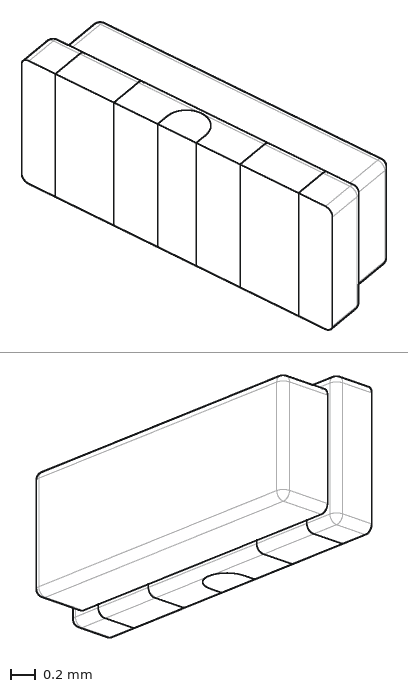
import cadquery as cq

length = 3.2
total_depth = 0.9
height = 1.3
base_depth = 0.4
cap_inset = 0.1
edge_radius = 0.075

terminal_width = 0.6
terminal_offset = 0.95

strip_radius = 0.2
strip_depth = base_depth - edge_radius


def rounded_block(block_length, block_height, start_y, depth):
    """Block along +Y with rounded corners and a rounded rear rim."""
    block = cq.Workplane("XY").box(block_length, depth, block_height, centered=(True, False, True))
    block = block.edges("|Y").fillet(edge_radius)
    return block.faces(">Y").edges().fillet(edge_radius).translate((0, start_y, 0))


def make_base():
    return rounded_block(length, height, 0, base_depth)


def make_cap():
    cap_length = length - 2 * cap_inset
    cap_height = height - 2 * cap_inset
    return rounded_block(cap_length, cap_height, base_depth, total_depth - base_depth)


def make_terminal(center_x):
    """Slice of the base, so that its rounded rim runs on across the terminal."""
    slice_box = cq.Workplane("XY").box(
        terminal_width, base_depth, height, centered=(True, False, True)
    )
    return make_base().intersect(slice_box.translate((center_x, 0, 0)))


def make_strip():
    """Arch-shaped strip running the full height."""
    shoulder_y = strip_depth - strip_radius
    return (
        cq.Workplane("XY")
        .workplane(offset=-height / 2)
        .moveTo(-strip_radius, 0)
        .lineTo(-strip_radius, shoulder_y)
        .threePointArc((0, strip_depth), (strip_radius, shoulder_y))
        .lineTo(strip_radius, 0)
        .close()
        .extrude(height)
    )


def make_housing(inserts):
    """Base and cap in one piece, with a recess for every insert."""
    housing = make_base().union(make_cap())
    for insert in inserts:
        housing = housing.cut(insert)
    return housing


terminals = [make_terminal(side * terminal_offset) for side in (-1, 1)]
strip = make_strip()
housing = make_housing([*terminals, strip])

result = cq.Compound.makeCompound(
    [housing.val(), strip.val(), *[terminal.val() for terminal in terminals]]
)